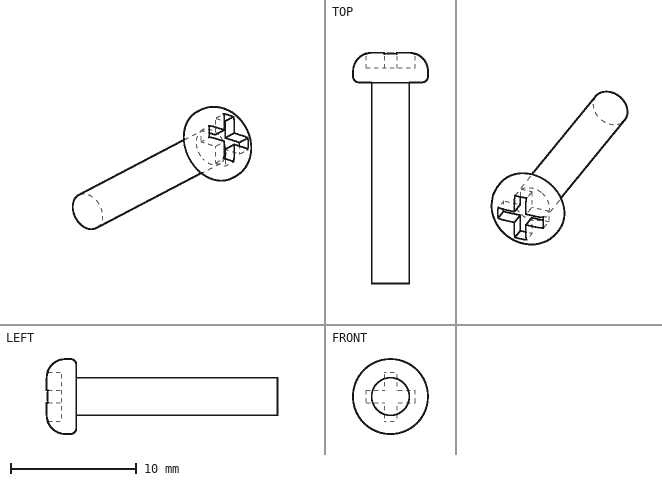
import cadquery as cq

total_length = 18.4
head_diameter = 6.0
shank_diameter = head_diameter / 2
head_height = 2.4
crown_radius = 1.5
under_head_radius = 0.5

recess_span = 3.9
recess_width = 1.0
recess_depth = head_height / 2

shank_length = total_length - head_height


def cylinder_along_y(diameter, start, length):
    """Cylinder on the Y axis, running toward +Y from start."""
    plane = cq.Workplane("XZ", origin=(0, start, 0))
    return plane.circle(diameter / 2).extrude(-length)


def make_head():
    head = cylinder_along_y(head_diameter, shank_length, head_height)
    head = head.faces(">Y").edges().fillet(crown_radius)
    return head.faces("<Y").edges().fillet(under_head_radius)


def make_cross_recess():
    """Two crossed bars that reach just past the flat of the head."""
    center_y = total_length - recess_depth / 2
    bar_x = cq.Workplane("XY").box(recess_span, recess_depth, recess_width)
    bar_z = cq.Workplane("XY").box(recess_width, recess_depth, recess_span)
    return bar_x.union(bar_z).translate((0, center_y, 0))


shank = cylinder_along_y(shank_diameter, 0, shank_length)
result = make_head().union(shank).cut(make_cross_recess())